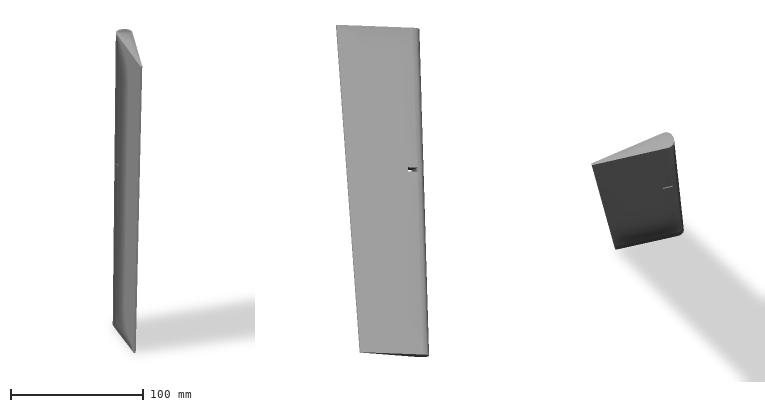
import cadquery as cq

SPAN = 250.0
TRAILING_THICKNESS = 1.5

ROOT_LEAD_X = 0.0
ROOT_CHORD = 54.0
ROOT_UPPER = 5.5
ROOT_LOWER = 5.8
ROOT_TRAILING_DROP = 6.0

TIP_LEAD_X = 8.0
TIP_CHORD = 65.0
TIP_UPPER = 6.0
TIP_LOWER = 6.2
TIP_TRAILING_DROP = 7.2

CREST_FRACTION = 0.12
BELLY_FRACTION = 0.09

UPPER_FULLNESS = 0.65
LOWER_FULLNESS = 0.6

SLOT_X = 11.2
SLOT_Z = 139.8
SLOT_LENGTH = 7.2
SLOT_HEIGHT = 3.2
SLOT_DEPTH = 4 * TIP_TRAILING_DROP


def nose_curve(nose, flank_start, flank_end, fullness):
    """Bezier curve that leaves the nose along Y and runs smoothly into a straight flank."""
    rise = cq.Vector(0, flank_start.y, 0)
    run = flank_start.x - nose.x
    flank_direction = (flank_end - flank_start).normalized()
    return cq.Edge.makeBezier([
        nose,
        nose + rise * fullness,
        flank_start - flank_direction * (run * fullness),
        flank_start,
    ])


def section(z, lead_x, chord, upper, lower, trailing_drop):
    """Closed airfoil wire: a rounded nose, two flat flanks and a blunt trailing edge."""
    nose = cq.Vector(lead_x, 0, z)
    crest = cq.Vector(lead_x + CREST_FRACTION * chord, upper, z)
    belly = cq.Vector(lead_x + BELLY_FRACTION * chord, -lower, z)
    trailing_bottom = cq.Vector(lead_x + chord, -trailing_drop, z)
    trailing_top = trailing_bottom + cq.Vector(0, TRAILING_THICKNESS, 0)
    return cq.Wire.assembleEdges([
        nose_curve(nose, crest, trailing_top, UPPER_FULLNESS),
        cq.Edge.makeLine(crest, trailing_top),
        cq.Edge.makeLine(trailing_top, trailing_bottom),
        cq.Edge.makeLine(trailing_bottom, belly),
        nose_curve(nose, belly, trailing_bottom, LOWER_FULLNESS),
    ])


root = section(0, ROOT_LEAD_X, ROOT_CHORD, ROOT_UPPER, ROOT_LOWER, ROOT_TRAILING_DROP)
tip = section(SPAN, TIP_LEAD_X, TIP_CHORD, TIP_UPPER, TIP_LOWER, TIP_TRAILING_DROP)
panel = cq.Workplane(cq.Solid.makeLoft([root, tip], True))

slot = (
    cq.Workplane()
    .box(SLOT_LENGTH, SLOT_DEPTH, SLOT_HEIGHT, centered=(False, True, False))
    .translate((SLOT_X, 0, SLOT_Z))
)

result = panel.cut(slot)